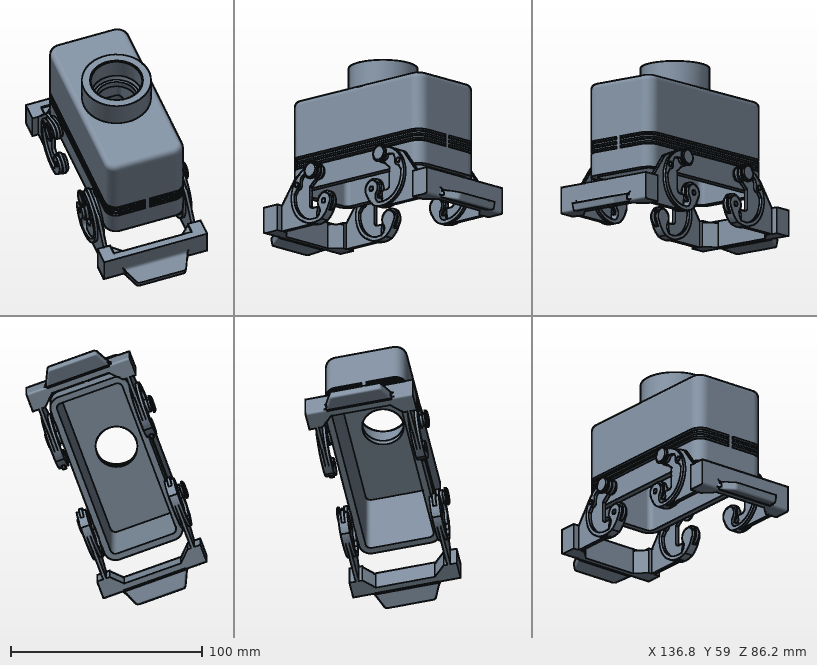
import cadquery as cq
import math


body_length = 93.3
body_width = 43.4
body_bottom = 20.7
body_top = 70.5
body_corner_radius = 6.3
body_top_radius = 3.0
wall = 3.5

collar_diameter = 36.2
collar_top = 84.0
bore_radius = 13.4
bore_chamfer = 0.5
bore_depth = collar_top - body_top
bore_cone_height = 2.1
bore_floor_radius = 12.4
cable_hole_radius = 10.9

groove_count = 3
groove_pitch = 2.5
groove_width = 1.4
groove_depth = 1.0
top_groove_z = 38.7
groove_gap = 2.7

bracket_outer_x = 58.8
bracket_inner_x = 48.8
bracket_width = 57.5
bracket_height = 14.0
bracket_bar = 4.1
bracket_edge_radius = 1.2
leg_gap = body_width
gusset_size = 5.9
gusset_recess = 1.0

overall_length = 136.82
tab_angle = 15.0
tab_thickness = 4.2
tab_edge_radius = 1.0
tab_lowest_z = -2.21
tab_root_half_width = 17.3
tab_tip_half_width = 13.4
tab_corner_radius = 2.0
tab_flare = 1.4

plate_thickness = 1.8
hook_thickness = 5.0
hook_gap = 0.3
arm_y = body_width / 2 + hook_gap + hook_thickness / 2
ring_radius = 15.8
ring_center = (-24.7, ring_radius)
pocket_radius = 13.75
pocket_left_angle = 173.0
pocket_bend_start = (-34.0, 23.8)
pocket_bend_end = (-30.8, 27.2)
lobe_center = (-17.2, 10.5)
lobe_radius = 5.65
lobe_rim_radius = 4.4
hook_back_middle = (-15.9, 3.9)
neck_middle = (-19.9, 6.0)
neck_end = (-20.6, 3.9)
throat_middle = (-21.6, 2.6)
throat_point = (-23.8, 2.15)
jaw_floor_end_x = -23.3
jaw_back_x = -28.7
jaw_floor_z = 8.6
jaw_corner_radius = 2.0
jaw_top_z = 20.4
plate_top_angle = 111.9
plate_shoulder_top = (-37.8, 27.6)
plate_shoulder_middle = (-39.0, 26.8)
plate_shoulder_end = (-40.0, 25.6)

pin_center = (ring_center[0], 28.1)
pin_disc_radius = 3.6
pin_plate_radius = 4.45
pin_neck_radius = 2.8
pin_head_radius = 4.5
pin_head_chamfer = 0.8
pin_head_thickness = 1.1
pin_end_y = 29.5
pin_root_depth = 2.0
rivet_center = (-36.5, 22.5)
rivet_radius = 1.35
rivet_chamfer = 0.2
rivet_height = 0.25
rivet_boss_radius = 2.5


def polar(center, radius, degrees):
    """Point on a circle, angle measured from +X towards +Z."""
    angle = math.radians(degrees)
    return (center[0] + radius * math.cos(angle), center[1] + radius * math.sin(angle))


def slab(outline, middle_y, thickness):
    """Extrude a closed XZ outline to a slab centred on middle_y."""
    return outline.extrude(thickness / 2, both=True).translate((0, middle_y, 0))


def disc(center, radius, start_y, end_y):
    """Cylinder along Y between two Y positions."""
    plane = cq.Workplane("XZ", origin=(0, start_y, 0))
    return plane.center(*center).circle(radius).extrude(start_y - end_y)


def rounded_block(length, width, bottom, top, corner_radius):
    block = cq.Workplane("XY", origin=(0, 0, bottom)).rect(length, width).extrude(top - bottom)
    return block.edges("|Z").fillet(corner_radius)


def body_section(inset, z):
    """Cross-section of the body at height z, shrunk by an inset all round."""
    section = cq.Sketch().rect(body_length - 2 * inset, body_width - 2 * inset)
    section = section.vertices().fillet(body_corner_radius - inset)
    return section.moved(cq.Location(cq.Vector(0, 0, z)))


def groove_ring(middle_z):
    """V-section ring around the body, interrupted in the middle of each end."""
    bottom = middle_z - groove_width / 2
    top = middle_z + groove_width / 2
    ring = rounded_block(body_length, body_width, bottom, top, body_corner_radius)
    narrow = body_section(groove_depth, middle_z)
    for rim_z in (bottom, top):
        core = cq.Workplane("XY").placeSketch(body_section(0, rim_z), narrow).loft()
        ring = ring.cut(core)
    bridge = cq.Workplane("XY").box(2 * body_length, groove_gap, groove_width)
    return ring.cut(bridge.translate((0, 0, middle_z)))


def make_hood():
    hood = rounded_block(body_length, body_width, body_bottom, body_top, body_corner_radius)
    hood = hood.faces(">Z").edges().fillet(body_top_radius)
    for index in range(groove_count):
        hood = hood.cut(groove_ring(top_groove_z - index * groove_pitch))

    collar = cq.Workplane("XY", origin=(0, 0, body_top - wall / 2)).circle(collar_diameter / 2)
    hood = hood.union(collar.extrude(collar_top - body_top + wall / 2))

    bore = cq.Workplane("XY", origin=(0, 0, collar_top)).circle(bore_radius)
    bore = bore.extrude(bore_cone_height - bore_depth)
    cone_top = collar_top - bore_depth + bore_cone_height
    cone_taper = math.degrees(math.atan((bore_radius - bore_floor_radius) / bore_cone_height))
    cone = cq.Workplane("XY", origin=(0, 0, cone_top)).circle(bore_radius)
    bore = bore.union(cone.extrude(-bore_cone_height, taper=cone_taper))
    mouth = cq.Workplane("XY", origin=(0, 0, collar_top)).circle(bore_radius + bore_chamfer)
    mouth = mouth.extrude(-bore_chamfer, taper=45)
    cavity = rounded_block(
        body_length - 2 * wall, body_width - 2 * wall, body_bottom, body_top - wall, body_corner_radius - wall
    )
    cable_hole = cq.Workplane("XY", origin=(0, 0, body_bottom)).circle(cable_hole_radius)
    cable_hole = cable_hole.extrude(collar_top - body_bottom)
    return hood.cut(bore).cut(mouth).cut(cavity).cut(cable_hole)


def make_bracket():
    """U-shaped block: cross bar, two legs and a triangular gusset in each corner."""
    depth = bracket_outer_x - bracket_inner_x
    middle_x = -(bracket_outer_x + bracket_inner_x) / 2
    bracket = cq.Workplane("XY").box(depth, bracket_width, bracket_height)
    bracket = bracket.translate((middle_x, 0, bracket_height / 2))
    bracket = bracket.edges("<X and <Z").fillet(bracket_edge_radius)
    bar_inner_x = bracket_bar - bracket_outer_x
    opening = cq.Workplane("XY").box(depth, leg_gap, 2 * bracket_height)
    bracket = bracket.cut(opening.translate((bar_inner_x + depth / 2, 0, 0)))
    for side in (-1, 1):
        corner_y = side * leg_gap / 2
        gusset = (
            cq.Workplane("XY")
            .moveTo(bar_inner_x, corner_y)
            .lineTo(bar_inner_x + gusset_size, corner_y)
            .lineTo(bar_inner_x, corner_y - side * gusset_size)
            .close()
            .extrude(bracket_height - gusset_recess)
        )
        bracket = bracket.union(gusset)
    return bracket


def make_blade(length, root_half_width):
    """Flat finger blade with its tip edge on the Y axis and its top at Z = 0."""
    corners = [
        (0, -tab_tip_half_width),
        (length, -root_half_width),
        (length, root_half_width),
        (0, tab_tip_half_width),
    ]
    blade = cq.Workplane("XY").polyline(corners).close().extrude(-tab_thickness)
    blade = blade.edges("<X and |Z").fillet(tab_corner_radius)
    return blade.faces("<Z").edges("not >X").fillet(tab_edge_radius)


def make_tab():
    """Finger blade sloping down from the bracket bar, flared where it joins the bar."""
    cosine = math.cos(math.radians(tab_angle))
    sine = math.sin(math.radians(tab_angle))
    tip_x = -overall_length / 2
    face_x = -bracket_outer_x
    flare_x = face_x - tab_flare
    inside_x = face_x + bracket_bar / 2
    round_center_drop = (tab_thickness - tab_edge_radius) * cosine - tab_edge_radius * sine
    tip_z = tab_lowest_z + tab_edge_radius + round_center_drop

    flare_start_z = tip_z + (flare_x - tip_x) * sine / cosine
    flare_end_z = tip_z + (face_x - tip_x) * sine / cosine + tab_flare
    side_slope = (tab_root_half_width - tab_tip_half_width) / (flare_x - tip_x)
    root_half_width = tab_tip_half_width + side_slope * (inside_x - tip_x)
    blade = make_blade((inside_x - tip_x) / cosine, root_half_width)
    blade = blade.rotate((0, 0, 0), (0, 1, 0), -tab_angle).translate((tip_x, 0, tip_z))
    below_bar = cq.Workplane("XY").box(2 * bracket_bar, bracket_width, bracket_height)
    blade = blade.cut(below_bar.translate((face_x + bracket_bar, 0, -bracket_height / 2)))

    flare_profile = (
        cq.Workplane("XZ")
        .moveTo(tip_x, tip_z)
        .lineTo(flare_x, flare_start_z)
        .tangentArcPoint((face_x, flare_end_z), relative=False)
        .lineTo(inside_x, flare_end_z)
        .lineTo(inside_x, tab_edge_radius)
        .lineTo(flare_x, tab_edge_radius)
        .close()
    )
    flare_half_width = tab_root_half_width + tab_flare
    half_flare = (
        cq.Workplane("XY")
        .moveTo(flare_x, 0)
        .lineTo(flare_x, tab_root_half_width)
        .threePointArc(polar((flare_x, flare_half_width), tab_flare, -45), (face_x, flare_half_width))
        .lineTo(inside_x, flare_half_width)
        .lineTo(inside_x, 0)
        .close()
        .extrude(bracket_height)
    )
    flare_plan = half_flare.union(half_flare.mirror("XZ"))
    flare = slab(flare_profile, 0, bracket_width).intersect(flare_plan)
    return blade.union(flare)


def hook_end(outline):
    """Continue an outline from the ring underside around the lobe to the throat of the hook."""
    ring_end_angle = -69
    lobe_start_angle = -38
    lobe_end_angle = 218
    ring_middle = polar(ring_center, ring_radius, (ring_end_angle - 90) / 2)
    lobe_middle = polar(lobe_center, lobe_rim_radius, (lobe_start_angle + lobe_end_angle) / 2)
    return (
        outline.threePointArc(ring_middle, polar(ring_center, ring_radius, ring_end_angle))
        .threePointArc(hook_back_middle, polar(lobe_center, lobe_rim_radius, lobe_start_angle))
        .threePointArc(lobe_middle, polar(lobe_center, lobe_rim_radius, lobe_end_angle))
        .threePointArc(neck_middle, neck_end)
        .threePointArc(throat_middle, throat_point)
    )


def make_plate():
    """Middle layer of an arm: web from the bracket to the hook, with the jaw opening."""
    rooted_x = -(bracket_inner_x + bracket_outer_x) / 2
    outline = cq.Workplane("XZ").moveTo(rooted_x, 0)
    outline = outline.lineTo(*polar(ring_center, ring_radius, -90))
    outline = (
        hook_end(outline)
        .lineTo(jaw_floor_end_x, jaw_floor_z)
        .lineTo(jaw_back_x + jaw_corner_radius, jaw_floor_z)
        .tangentArcPoint((-jaw_corner_radius, jaw_corner_radius))
        .lineTo(jaw_back_x, jaw_top_z)
        .lineTo(pin_center[0], pin_center[1] - pin_plate_radius)
        .lineTo(*polar(pin_center, pin_plate_radius, plate_top_angle))
        .lineTo(*plate_shoulder_top)
        .threePointArc(plate_shoulder_middle, plate_shoulder_end)
        .lineTo(-bracket_inner_x, bracket_height)
        .lineTo(rooted_x, bracket_height)
        .close()
    )
    return slab(outline, arm_y, plate_thickness)


def make_rim():
    """Thick C-shaped hook: ring around the pocket, widened around the rivet."""
    pocket_left = polar(ring_center, pocket_radius, pocket_left_angle)
    boss_right = polar(rivet_center, rivet_boss_radius, 0)
    outline = (
        cq.Workplane("XZ")
        .moveTo(*polar(ring_center, ring_radius, 90))
        .threePointArc(polar(ring_center, ring_radius, 180), polar(ring_center, ring_radius, -90))
    )
    outline = (
        hook_end(outline)
        .lineTo(*polar(ring_center, pocket_radius, -90))
        .threePointArc(polar(ring_center, pocket_radius, -135), pocket_left)
        .lineTo(*polar(rivet_center, rivet_boss_radius, -90))
        .threePointArc(polar(rivet_center, rivet_boss_radius, -45), boss_right)
        .lineTo(*pocket_bend_start)
        .tangentArcPoint(pocket_bend_end, relative=False)
        .lineTo(pin_center[0], pocket_bend_end[1])
        .close()
    )
    return slab(outline, arm_y, hook_thickness)


def make_arm():
    """Arm on the +Y side with its hinge pin and rivets."""
    hook_outer_y = arm_y + hook_thickness / 2
    hook_inner_y = arm_y - hook_thickness / 2
    plate_outer_y = arm_y + plate_thickness / 2
    plate_inner_y = arm_y - plate_thickness / 2
    arm = make_plate().union(make_rim())
    arm = arm.union(disc(lobe_center, lobe_radius, plate_inner_y, plate_outer_y))
    arm = arm.union(disc(pin_center, pin_plate_radius, plate_inner_y, plate_outer_y))
    arm = arm.union(disc(pin_center, pin_disc_radius, hook_inner_y, hook_outer_y))
    arm = arm.union(disc(pin_center, pin_neck_radius, hook_inner_y - pin_root_depth, pin_end_y))
    head = disc(pin_center, pin_head_radius, pin_end_y - pin_head_thickness, pin_end_y)
    arm = arm.union(head.faces(">Y").edges().chamfer(pin_head_thickness / 2, pin_head_chamfer))
    for center in (rivet_center, lobe_center):
        rivet = disc(center, rivet_radius, arm_y, hook_outer_y + rivet_height)
        arm = arm.union(rivet.faces(">Y").edges().chamfer(rivet_chamfer))
    return arm


def make_lever():
    arm = make_arm()
    return make_bracket().union(make_tab()).union(arm).union(arm.mirror("XZ"))


lever = make_lever()
result = make_hood().union(lever).union(lever.mirror("YZ"))